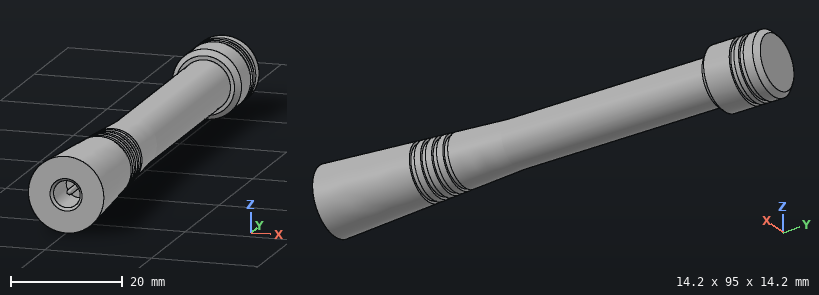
import cadquery as cq

total_length = 95.0
base_radius = 7.1
rod_radius = 4.75
cone_length = 39.0

cap_radius = 6.5
cap_length = 12.5
cap_chamfer = 1.0
cap_groove_width = 1.0
cap_groove_depth = 0.5
cap_groove_pitch = 2.0
cap_groove_count = 2
first_cap_groove_offset = 3.0

cone_groove_width = 1.0
cone_groove_depth = 0.5
cone_groove_pitch = 2.3
cone_groove_count = 4
first_cone_groove_y = 20.0

socket_radius = 2.5
socket_depth = 8.0
socket_chamfer = 0.5
pin_radius = 0.5
pin_tip_radius = 0.45
pin_recess = 1.7
pin_root = 1.0


def cylinder(radius, start, length):
    """Cylinder on the Y axis running from start in the +Y direction."""
    solid = cq.Solid.makeCylinder(radius, length, cq.Vector(0, start, 0), cq.Vector(0, 1, 0))
    return cq.Workplane(obj=solid)


def cone(start_radius, end_radius, start, length):
    """Truncated cone on the Y axis running from start in the +Y direction."""
    solid = cq.Solid.makeCone(start_radius, end_radius, length, cq.Vector(0, start, 0), cq.Vector(0, 1, 0))
    return cq.Workplane(obj=solid)


def cone_radius(y):
    """Outer radius of the tapered grip at distance y from the mounting face."""
    return base_radius + (rod_radius - base_radius) * y / cone_length


def make_body():
    """Tapered grip, straight rod and chamfered cap turned as one profile."""
    cap_start = total_length - cap_length
    cap_end_radius = cap_radius - cap_chamfer
    profile = [
        (0, 0),
        (base_radius, 0),
        (rod_radius, cone_length),
        (rod_radius, cap_start),
        (cap_end_radius, cap_start),
        (cap_radius, cap_start + cap_chamfer),
        (cap_radius, total_length - cap_chamfer),
        (cap_end_radius, total_length),
        (0, total_length),
    ]
    return cq.Workplane("XY").polyline(profile).close().revolve(360, (0, 0, 0), (0, 1, 0))


def cut_cap_grooves(body):
    """Square grooves around the cap."""
    for index in range(cap_groove_count):
        top = total_length - first_cap_groove_offset - index * cap_groove_pitch
        start = top - cap_groove_width
        blank = cylinder(cap_radius + cap_groove_depth, start, cap_groove_width)
        core = cylinder(cap_radius - cap_groove_depth, start, cap_groove_width)
        body = body.cut(blank.cut(core))
    return body


def cut_cone_grooves(body):
    """Grooves of constant depth whose floors follow the taper."""
    for index in range(cone_groove_count):
        start = first_cone_groove_y + index * cone_groove_pitch
        start_radius = cone_radius(start) - cone_groove_depth
        end_radius = cone_radius(start + cone_groove_width) - cone_groove_depth
        blank = cylinder(base_radius, start, cone_groove_width)
        core = cone(start_radius, end_radius, start, cone_groove_width)
        body = body.cut(blank.cut(core))
    return body


def add_socket(body):
    """Blind socket with a chamfered mouth and a recessed, round-tipped contact pin."""
    mouth = cone(socket_radius + socket_chamfer, socket_radius, 0, socket_chamfer)
    body = body.cut(cylinder(socket_radius, 0, socket_depth)).cut(mouth)
    pin_length = socket_depth - pin_recess + pin_root
    pin = cylinder(pin_radius, pin_recess, pin_length).faces("<Y").fillet(pin_tip_radius)
    return body.union(pin)


result = add_socket(cut_cone_grooves(cut_cap_grooves(make_body())))